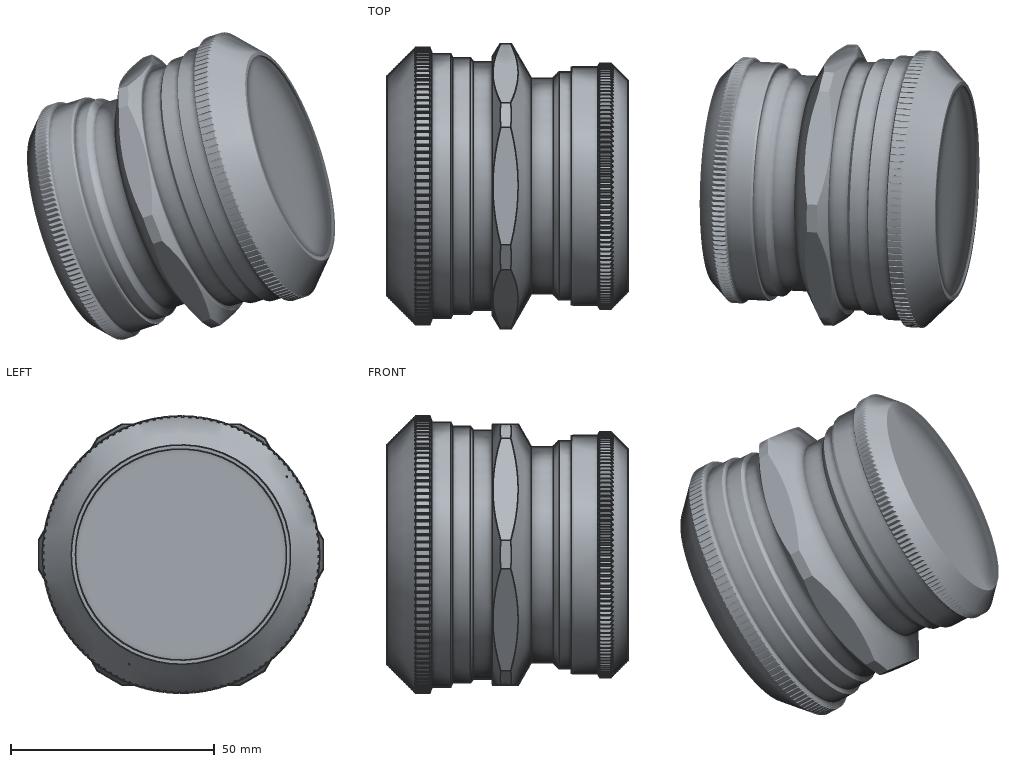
import cadquery as cq
import math

total_length = 59.15

cap_rim_radius = 68.0 / 2
cap_face_radius = 53.8 / 2
cap_recess_radius = 51.8 / 2
cap_recess_depth = 0.55
cap_cone_end = cap_rim_radius - cap_face_radius
cap_rim_end = 10.5
cap_rim_taper = 0.55
cap_groove_count = 120
cap_groove_width = 0.4
cap_groove_depth = 0.3

collar_1_radius = 65.0 / 2
collar_1_end = 15.6
collar_2_radius = 63.0 / 2
collar_2_start = 16.1
collar_2_end = 20.4
collar_3_radius = 61.1 / 2
collar_3_start = 21.2

hex_start = 25.8
hex_flat_radius = 64.0 / 2
hex_corner_radius = 69.9 / 2
hex_face_radius = 31.65
hex_crest_start = 27.9
hex_crest_end = 30.5
hex_cone_slope = math.tan(math.radians(60))

neck_radius = 53.0 / 2
neck_end = 40.75
shoulder_1_radius = 56.0 / 2
shoulder_1_start = neck_end + shoulder_1_radius - neck_radius
shoulder_2_radius = 58.5 / 2
shoulder_2_start = 45.2
shoulder_2_lead_length = 0.5
shoulder_2_lead_height = 0.15
shoulder_2_end = 51.7

rear_rim_radius = 60.4 / 2
rear_end_radius = 51.8 / 2
rear_rim_start = 52.3
rear_cone_start = total_length - (rear_rim_radius - rear_end_radius)
rear_groove_count = 144
rear_groove_depth = 0.6

cut_margin = 0.7


def turned(points):
    """Solid of revolution about X of an (x, radius) outline closed along the axis."""
    outline = [(points[0][0], 0)] + points + [(points[-1][0], 0)]
    return cq.Workplane("XY").polyline(outline).close().revolve(360, (0, 0, 0), (1, 0, 0))


def hex_prism(start, end, flat_radius, turn):
    """Hexagonal prism along X; flats face +Z and -Z until it is turned about X."""
    corner_diameter = 2 * flat_radius / math.cos(math.radians(30))
    prism = cq.Workplane("YZ", origin=(start, 0, 0)).polygon(6, corner_diameter).extrude(end - start)
    return prism.rotate((0, 0, 0), (1, 0, 0), turn)


def body():
    """Stepped round body without the hexagon, recess and knurls."""
    return turned([
        (0, cap_face_radius),
        (cap_cone_end, cap_rim_radius),
        (cap_rim_end, cap_rim_radius),
        (cap_rim_end + cap_rim_taper, collar_1_radius),
        (collar_1_end, collar_1_radius),
        (collar_2_start, collar_2_radius),
        (collar_2_end, collar_2_radius),
        (collar_3_start, collar_3_radius),
        (hex_start, collar_3_radius),
        (hex_start, neck_radius),
        (neck_end, neck_radius),
        (shoulder_1_start, shoulder_1_radius),
        (shoulder_2_start, shoulder_1_radius),
        (shoulder_2_start, shoulder_2_radius - shoulder_2_lead_height),
        (shoulder_2_start + shoulder_2_lead_length, shoulder_2_radius),
        (shoulder_2_end, shoulder_2_radius),
        (rear_rim_start, rear_rim_radius),
        (rear_cone_start, rear_rim_radius),
        (total_length, rear_end_radius),
    ])


def hex_collar():
    """Hexagonal prism with its corners trimmed flat and both sides turned to cones."""
    hex_end = hex_crest_end + (hex_corner_radius - neck_radius) / hex_cone_slope
    flats = hex_prism(hex_start, hex_end, hex_flat_radius, 0)
    corner_trim = hex_prism(hex_start, hex_end, hex_corner_radius, 30)
    crest_rise = hex_cone_slope * (hex_crest_end - hex_crest_start) / 2
    crest_middle = (hex_crest_start + hex_crest_end) / 2
    cones = turned([
        (hex_start, hex_face_radius),
        (crest_middle, hex_corner_radius + crest_rise),
        (hex_end, neck_radius),
    ])
    return flats.intersect(corner_trim).intersect(cones)


def ring_of_cutters(cutter, count):
    """Copies of a cutter spread evenly about X, the first turned a quarter pitch from +Z."""
    pitch = 360 / count
    copies = [cutter.rotate((0, 0, 0), (1, 0, 0), (k + 0.25) * pitch).val() for k in range(count)]
    return cq.Compound.makeCompound(copies)


def cap_grooves():
    """Narrow square-bottomed grooves across the front cap rim."""
    start = cap_cone_end - cut_margin
    length = cap_rim_end + cap_rim_taper + cut_margin - start
    cutter = (
        cq.Workplane("XY")
        .box(length, cap_groove_width, 2 * cap_groove_depth, centered=(False, True, True))
        .translate((start, 0, cap_rim_radius))
    )
    return ring_of_cutters(cutter, cap_groove_count)


def rear_grooves():
    """V grooves that meet in sharp ridges around the rear cap rim."""
    half_width = rear_rim_radius * math.tan(math.pi / rear_groove_count)
    valley_radius = rear_rim_radius - rear_groove_depth
    clear_radius = rear_rim_radius + cut_margin
    cutter = (
        cq.Workplane("YZ", origin=(shoulder_2_end, 0, 0))
        .polyline([
            (0, valley_radius),
            (half_width, rear_rim_radius),
            (half_width, clear_radius),
            (-half_width, clear_radius),
            (-half_width, rear_rim_radius),
        ])
        .close()
        .extrude(total_length - shoulder_2_end)
    )
    return ring_of_cutters(cutter, rear_groove_count)


cap_recess = cq.Workplane("YZ").circle(cap_recess_radius).extrude(cap_recess_depth)
result = body().union(hex_collar()).cut(cap_recess)
for grooves in (cap_grooves(), rear_grooves()):
    result = result.cut(cq.Workplane(grooves))